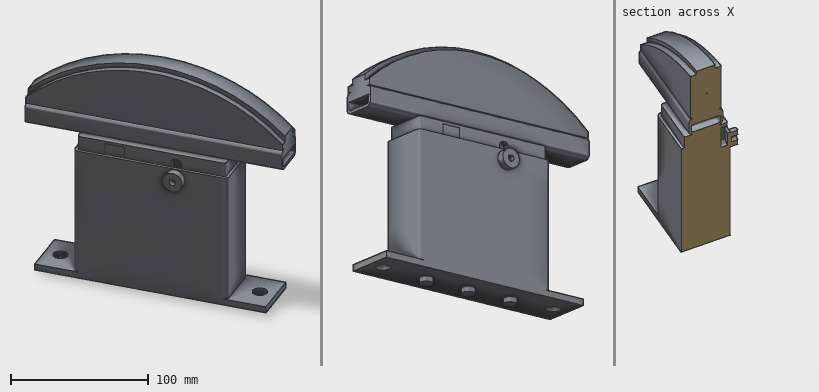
import cadquery as cq
import math

plate_length = 180.0
body_depth = 40.0
plate_thickness = 5.0
mount_hole_diameter = 11.0
mount_hole_end_distance = 12.5
pin_diameter = 10.0
pin_length = 4.0
pin_pitch = 38.5

tube_length = 120.0
tube_height = 100.0
tube_wall = 2.5
tube_corner_radius = 4.0
tube_top = plate_thickness + tube_height
column_length = tube_length - 2 * tube_wall
column_depth = body_depth - 2 * tube_wall
column_corner_radius = 2.0
column_rise = 11.0
column_top = tube_top + column_rise
column_front = -column_depth / 2

screw_x = 19.5
screw_drop = 8.0
screw_z = tube_top - screw_drop
screw_head_diameter = 15.0
screw_head_length = 6.0
screw_socket_diameter = 4.8
screw_socket_depth = 5.0
slot_width = 8.5
slot_depth = 5.2
slot_rise = 7.0
slot_top = tube_top + slot_rise

panel_center_x = -28.8
panel_width = 15.2
panel_rise = 9.0
panel_depth = 0.2

rail_length = 200.0
rail_width = 28.0
rail_height = 16.5
rail_wall = 2.5
rail_outer_radius = 4.0
rail_inner_radius = rail_outer_radius - rail_wall
rail_lip_gap = 13.8
rail_bottom = column_top
rail_top = rail_bottom + rail_height

foot_height_above_rail_bottom = 9.2
foot_bottom = rail_bottom + foot_height_above_rail_bottom
insert_width = 25.2
band_width = 15.2
band_radius = 150.0
shoulder_step = 3.5
shoulder_radius = band_radius - shoulder_step
part_top = 180.0
arch_center_z = part_top - band_radius


def rounded_block(length, depth, height, radius, bottom):
    """Upright block centred on the Z axis with rounded vertical corners."""
    block = cq.Workplane("XY").workplane(offset=bottom).rect(length, depth).extrude(height)
    return block.edges("|Z").fillet(radius)


def long_bar(width, bottom, top):
    """Bar of full rail length along X."""
    return (
        cq.Workplane("XY")
        .workplane(offset=bottom)
        .rect(rail_length, width)
        .extrude(top - bottom)
    )


def base_plate():
    hole_x = plate_length / 2 - mount_hole_end_distance
    plate = cq.Workplane("XY").rect(plate_length, body_depth).extrude(plate_thickness)
    holes = (
        cq.Workplane("XY")
        .pushPoints([(-hole_x, 0), (hole_x, 0)])
        .circle(mount_hole_diameter / 2)
        .extrude(plate_thickness)
    )
    pins = (
        cq.Workplane("XY")
        .pushPoints([(-pin_pitch, 0), (0, 0), (pin_pitch, 0)])
        .circle(pin_diameter / 2)
        .extrude(-pin_length)
    )
    return plate.cut(holes).union(pins)


def tube():
    outer = rounded_block(tube_length, body_depth, tube_height, tube_corner_radius, plate_thickness)
    bore = rounded_block(column_length, column_depth, tube_height, column_corner_radius, plate_thickness)
    return outer.cut(bore)


def column():
    """Column filling the tube, with the screw slot and label panel in its front face."""
    height = column_top - plate_thickness
    block = rounded_block(column_length, column_depth, height, column_corner_radius, plate_thickness)
    front_plane = cq.Workplane("XZ", origin=(0, column_front, 0))
    slot_bottom = screw_z - slot_width / 2
    slot = (
        front_plane
        .center(screw_x, (slot_top + slot_bottom) / 2)
        .slot2D(slot_top - slot_bottom, slot_width, 90)
        .extrude(-slot_depth)
    )
    panel = (
        front_plane
        .center(panel_center_x, tube_top + panel_rise / 2)
        .rect(panel_width, panel_rise)
        .extrude(-panel_depth)
    )
    return block.cut(slot).cut(panel)


def clamp_screw():
    tube_face = cq.Workplane("XZ", origin=(screw_x, -body_depth / 2, screw_z))
    head = tube_face.circle(screw_head_diameter / 2).extrude(screw_head_length)
    socket = (
        tube_face
        .workplane(offset=screw_head_length)
        .circle(screw_socket_diameter / 2)
        .extrude(-screw_socket_depth)
    )
    return head.cut(socket)


def rail_cavity():
    cavity = long_bar(rail_width - 2 * rail_wall, rail_bottom + rail_wall, rail_top - rail_wall)
    return cavity.edges("|X").fillet(rail_inner_radius)


def rail():
    outer = long_bar(rail_width, rail_bottom, rail_top).edges("|X").fillet(rail_outer_radius)
    lip_opening = long_bar(rail_lip_gap, rail_top - rail_wall, rail_top)
    return outer.cut(rail_cavity()).cut(lip_opening)


def arch(width, radius):
    """Slab above the rail under an arc centred on the Z axis."""
    half_length = rail_length / 2
    end_z = arch_center_z + math.sqrt(radius**2 - half_length**2)
    return (
        cq.Workplane("XZ", origin=(0, width / 2, 0))
        .moveTo(-half_length, rail_top)
        .lineTo(-half_length, end_z)
        .threePointArc((0, arch_center_z + radius), (half_length, end_z))
        .lineTo(half_length, rail_top)
        .close()
        .extrude(width)
    )


def insert():
    foot = rail_cavity().intersect(long_bar(rail_width, foot_bottom, rail_top))
    neck = long_bar(rail_lip_gap, foot_bottom, rail_top)
    shoulders = arch(insert_width, shoulder_radius)
    band = arch(band_width, band_radius)
    return foot.union(neck).union(shoulders).union(band)


result = base_plate()
for component in (tube(), column(), clamp_screw(), rail(), insert()):
    result = result.union(component)